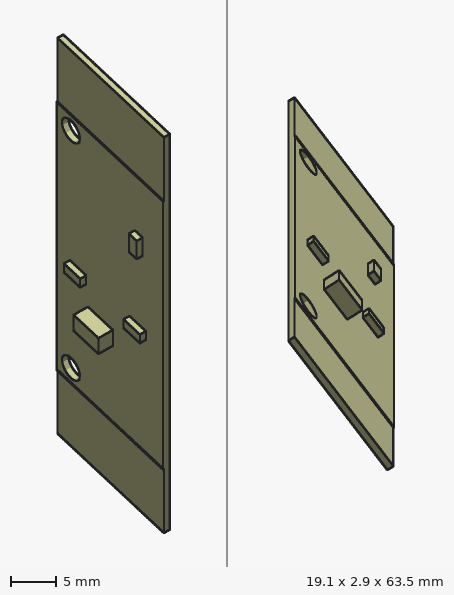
import cadquery as cq

board_width = 19.05
board_length = 63.5
board_thickness = 0.8

coating_length = 43.05
coating_thickness = 0.095
coated_front = -(board_thickness + coating_thickness)

hole_diameter = 3.2
hole_x = -7.0
hole_spacing = 38.1

chip_length = 2.9
chip_width = 1.4
chip_height = 0.8
horizontal_chip_z = -2.6
left_chip_x = -5.7
right_chip_x = 4.95
upright_chip_x = 5.15
upright_chip_z = 11.2

overall_depth = 2.9
block_width = 4.45
block_length = 2.55
block_height = overall_depth + coated_front
block_x = -1.7
block_z = -7.95


def front_block(x, z, width, length, height, back_y):
    """Box centred at (x, z) that rises toward -Y from the plane y = back_y."""
    return (
        cq.Workplane("XY")
        .box(width, height, length, centered=(True, False, True))
        .translate((x, back_y - height, z))
    )


board = front_block(0, 0, board_width, board_length, board_thickness, 0)
coating = front_block(0, 0, board_width, coating_length, coating_thickness, -board_thickness)
result = board.union(coating)

hole_centers = [(hole_x, side * hole_spacing / 2) for side in (-1, 1)]
holes = (
    cq.Workplane("XZ")
    .pushPoints(hole_centers)
    .circle(hole_diameter / 2)
    .extrude(overall_depth)
)
result = result.cut(holes)

components = [
    (left_chip_x, horizontal_chip_z, chip_length, chip_width, chip_height),
    (right_chip_x, horizontal_chip_z, chip_length, chip_width, chip_height),
    (upright_chip_x, upright_chip_z, chip_width, chip_length, chip_height),
    (block_x, block_z, block_width, block_length, block_height),
]
for x, z, width, length, height in components:
    result = result.union(front_block(x, z, width, length, height, coated_front))